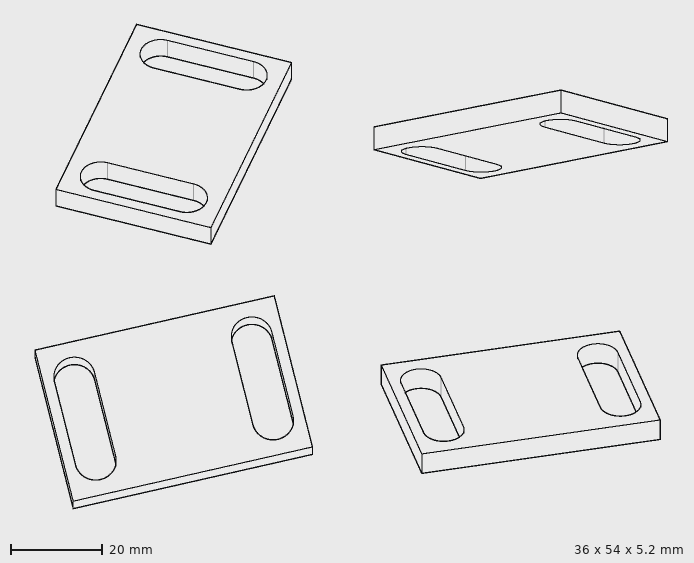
import cadquery as cq

plate_width = 36.0
plate_length = 54.0
plate_thickness = 5.2

slot_length = 29.0
slot_width = 9.0
slot_spacing = 40.0

plate = cq.Workplane("XY").box(plate_width, plate_length, plate_thickness)

result = (
    plate.faces(">Z")
    .workplane()
    .rarray(0.55, slot_spacing, 1, 2)
    .slot2D(slot_length, slot_width)
    .cutThruAll()
)